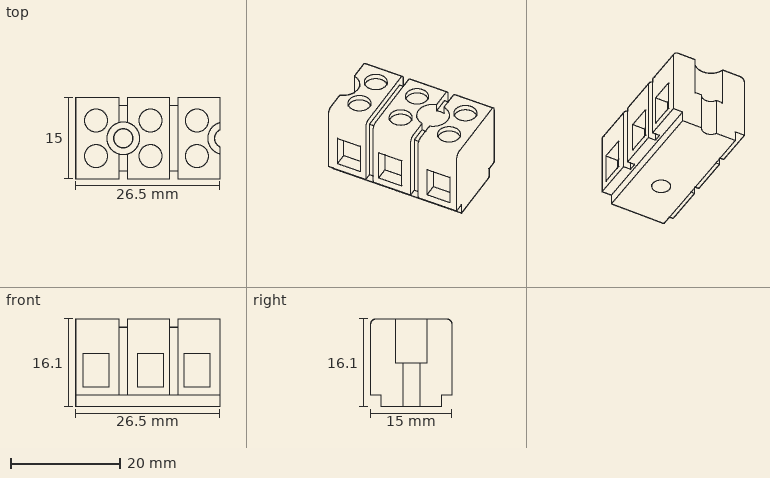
import cadquery as cq


length = 26.5
width = 15.0
height = 16.1
base_width = 11.1
base_height = 2.12
edge_radius = 1.05

gap_width = 1.5
first_gap_start = 8.0
second_gap_start = 17.25
web_drop = 1.5
web_width = 12.05
web_top = height - web_drop

pole_centers = [3.75, 13.75, 22.25]
well_diameter = 4.21
well_offset = 3.25
well_depth = 1.05
pocket_width = 4.72
pocket_height = 6.2
pocket_bottom = 3.6
pocket_depth = 2.5

mount_first_x = first_gap_start + gap_width / 2
mount_spacing = 18.5
mount_centers = [mount_first_x, mount_first_x + mount_spacing]
mount_diameter = 3.47
counterbore_diameter = 6.0
counterbore_depth = height / 2


def box(x_start, x_size, y_size, z_start, z_size):
    """Box that starts at the given X and Z and is centred across Y."""
    return (
        cq.Workplane("XY")
        .box(x_size, y_size, z_size, centered=(False, True, False))
        .translate((x_start, 0, z_start))
    )


def make_body():
    upper = box(0, length, width, base_height, height - base_height)
    upper = upper.edges("|X and >Z").fillet(edge_radius)
    return upper.union(box(0, length, base_width, 0, base_height))


def make_gap(x_start):
    """Space between two poles, leaving the web standing."""
    upper_height = height - base_height
    space = box(x_start, gap_width, width, base_height, upper_height)
    return space.cut(box(x_start, gap_width, web_width, base_height, web_top - base_height))


def make_wells():
    points = [(x, side * well_offset) for x in pole_centers for side in (-1, 1)]
    return (
        cq.Workplane("XY", origin=(0, 0, height))
        .pushPoints(points)
        .circle(well_diameter / 2)
        .extrude(-well_depth)
    )


def make_pocket(x_center, side):
    """Rectangular wire pocket; side is -1 for the front face and 1 for the back face."""
    y_center = side * (width - pocket_depth) / 2
    pocket = box(x_center - pocket_width / 2, pocket_width, pocket_depth, pocket_bottom, pocket_height)
    return pocket.translate((0, y_center, 0))


def make_mounting_hole(x_center):
    hole = cq.Workplane("XY").center(x_center, 0).circle(mount_diameter / 2).extrude(height)
    counterbore = (
        cq.Workplane("XY", origin=(x_center, 0, height))
        .circle(counterbore_diameter / 2)
        .extrude(-counterbore_depth)
    )
    return hole.union(counterbore)


body = make_body()
for gap_start in (first_gap_start, second_gap_start):
    body = body.cut(make_gap(gap_start))
body = body.cut(make_wells())
for center in pole_centers:
    for side in (-1, 1):
        body = body.cut(make_pocket(center, side))
for center in mount_centers:
    body = body.cut(make_mounting_hole(center))

result = body